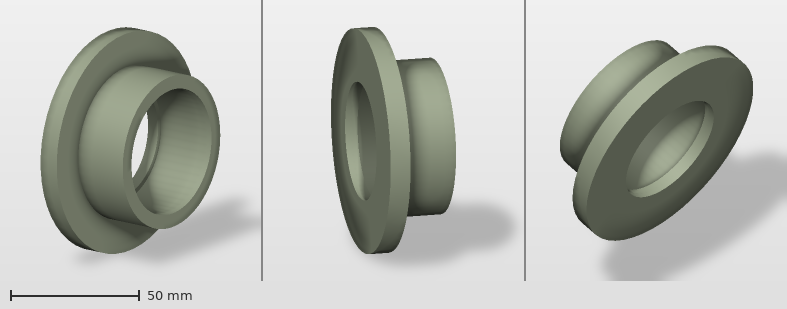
import cadquery as cq

TOTAL_LENGTH = 30.0
FLANGE_DIAMETER = 88.0
FLANGE_THICKNESS = 8.0
SLEEVE_DIAMETER = 61.0

OPENING_DIAMETER = 46.33
OPENING_DEPTH = 5.0
SLEEVE_BORE_DIAMETER = 50.0


def cylinder_along_x(diameter, start, end):
    """Solid cylinder about the X axis between two X positions."""
    return cq.Workplane("YZ", origin=(start, 0, 0)).circle(diameter / 2).extrude(end - start)


def make_body():
    flange = cylinder_along_x(FLANGE_DIAMETER, 0, FLANGE_THICKNESS)
    sleeve = cylinder_along_x(SLEEVE_DIAMETER, 0, TOTAL_LENGTH)
    return flange.union(sleeve)


def make_bore():
    opening = cylinder_along_x(OPENING_DIAMETER, 0, TOTAL_LENGTH)
    sleeve_bore = cylinder_along_x(SLEEVE_BORE_DIAMETER, OPENING_DEPTH, TOTAL_LENGTH)
    return opening.union(sleeve_bore)


result = make_body().cut(make_bore())